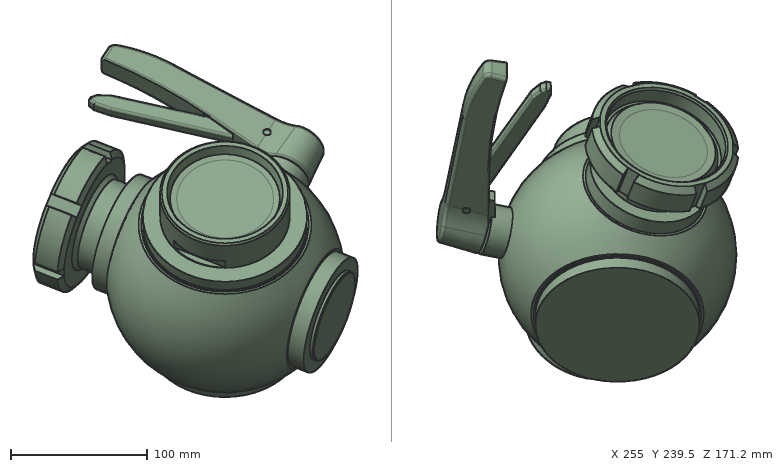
import cadquery as cq
import math

BODY_RADIUS = 87.5
BODY_HALF_LENGTH = 73.6
BODY_HALF_HEIGHT = 60.3

COLLAR_RADIUS = 60.2
COLLAR_HALF_HEIGHT = 71.2
STEP_RADIUS = 61.5
STEP_HEIGHT = 0.9

SPIGOT_RADIUS = 47.7
SPIGOT_TOP = 100.0
SPIGOT_CHAMFER = 1.4
WRENCH_FLAT_DISTANCE = 42.8
WRENCH_FLAT_BOTTOM = COLLAR_HALF_HEIGHT + 0.8
WRENCH_FLAT_HEIGHT = 7.8

RECESS_RIM_RADIUS = 42.5
RECESS_FLOOR_RADIUS = 40.2
RECESS_DEPTH = 7.3
DISH_RADIUS = 35.6
DISH_DEPTH = 0.5

PORT_FLANGE_RADIUS = 45.3
PORT_FLANGE_END = 86.4
NECK_RADIUS = 35.1
RIGHT_END = 89.7
RIGHT_CHAMFER = 0.8

NUT_FRONT = -131.8
NUT_BACK = -106.5
NUT_RADIUS = 56.0
NUT_FRONT_CHAMFER = 4.0
NUT_BACK_CHAMFER = 3.0
NUT_CHAMFER_HEIGHT = 5.0
NUT_SHOULDER_RADIUS = 37.9
NUT_SHOULDER_LENGTH = 3.4
NUT_BORE_RADIUS = 45.4
NUT_BORE_CHAMFER = 1.4
NUT_BORE_DEPTH = 13.3
NUT_SLOTS = 6
NUT_SLOT_WIDTH = 9.4
NUT_SLOT_FLOOR = 50.5
SEAT_BASE_RADIUS = 43.0
SEAT_RIM_RADIUS = 39.8
SEAT_HEIGHT = 4.5
SEAT_DISH_RADIUS = 33.5

STEM_RADIUS = 19.1
STEM_END = 101.0
SPINDLE_RADIUS = 8.0
SPINDLE_ENGAGEMENT = 1.0
HANDLE_BASE = 102.8
HANDLE_DEPTH = 55.0
HANDLE_DRAFT = 5.0
HANDLE_TIP = -165.29
ARM_HALF_WIDTH = 12.2
HEAD_RADIUS = 19.0
FLARE_START = -25.7
HANDLE_ROUNDING = 3.0
UNDERSIDE_ROUNDING = 1.2
TIP_BOTTOM = 131.0
TIP_TOP = 143.0
TIP_CREST = (-161.0, 148.5)
ARM_CREST = (-115.4, 150.8)
HEAD_CORNER = (22.0, 133.0)
UNDERSIDE_START = -16.0
UNDERSIDE_BEND = (-70.0, 117.5)

TRIGGER_HALF_WIDTH = 4.7
TRIGGER_ROUNDING = 2.0
TRIGGER_OUTLINE = [
    (-158.3, 99.3),
    (-155.0, 103.0),
    (-146.0, 107.3),
    (-44.0, 126.5),
    (-44.0, 112.3),
    (-139.6, 94.8),
    (-153.0, 94.0),
    (-158.3, 96.0),
]
POCKET_START = -76.0
POCKET_END = -48.0
POCKET_TOP = 133.0
POCKET_HALF_WIDTH = 8.2
STOP_OUTLINE = [(-35.0, 112.0), (-35.0, 103.5), (-17.6, 98.4), (-12.0, 98.4), (-12.0, 112.0)]
STOP_HALF_WIDTH = 4.8
PIN_CENTRE = (-25.4, 122.4)
PIN_RADIUS = 2.8
PIN_HALF_LENGTH = 11.0


def revolve_about_x(points):
    """Solid of revolution about X from (x, radius) points."""
    return cq.Workplane("XY").polyline(points).close().revolve(360, (0, 0, 0), (1, 0, 0))


def revolve_about_z(points):
    """Solid of revolution about Z from (radius, z) points."""
    return cq.Workplane("XZ").polyline(points).close().revolve(360, (0, 0, 0), (0, 1, 0))


def make_body():
    """Ball trimmed flat at the sides, with a collar above and below."""
    ball = cq.Workplane("XY").sphere(BODY_RADIUS)
    limits = cq.Workplane("XY").box(2 * BODY_HALF_LENGTH, 2 * BODY_RADIUS, 2 * BODY_HALF_HEIGHT)
    step_half_height = BODY_HALF_HEIGHT + STEP_HEIGHT
    steps = cq.Workplane("XY").circle(STEP_RADIUS).extrude(step_half_height, both=True)
    collars = cq.Workplane("XY").circle(COLLAR_RADIUS).extrude(COLLAR_HALF_HEIGHT, both=True)
    return ball.intersect(limits).union(steps).union(collars)


def make_spigot():
    """Top spigot with two wrench flats and a shallow tapered recess."""
    spigot = (
        cq.Workplane("XY").circle(SPIGOT_RADIUS).extrude(SPIGOT_TOP)
        .faces(">Z").edges().chamfer(SPIGOT_CHAMFER)
    )
    for side in (1, -1):
        cut_centre = side * (WRENCH_FLAT_DISTANCE + SPIGOT_RADIUS / 2)
        flat_cut = (
            cq.Workplane("XY", origin=(0, cut_centre, WRENCH_FLAT_BOTTOM))
            .box(2 * SPIGOT_RADIUS, SPIGOT_RADIUS, WRENCH_FLAT_HEIGHT, centered=(True, True, False))
        )
        spigot = spigot.cut(flat_cut)
    floor = SPIGOT_TOP - RECESS_DEPTH
    recess = revolve_about_z([
        (0, SPIGOT_TOP),
        (RECESS_RIM_RADIUS, SPIGOT_TOP),
        (RECESS_FLOOR_RADIUS, floor),
        (DISH_RADIUS, floor - DISH_DEPTH),
        (0, floor - DISH_DEPTH),
    ])
    return spigot.cut(recess)


def make_side_ports():
    """Stepped ports along X, from the back of the nut to the plain right end."""
    return revolve_about_x([
        (NUT_BACK, 0),
        (NUT_BACK, NECK_RADIUS),
        (-PORT_FLANGE_END, NECK_RADIUS),
        (-PORT_FLANGE_END, PORT_FLANGE_RADIUS),
        (PORT_FLANGE_END, PORT_FLANGE_RADIUS),
        (PORT_FLANGE_END, NECK_RADIUS),
        (RIGHT_END - RIGHT_CHAMFER, NECK_RADIUS),
        (RIGHT_END, NECK_RADIUS - RIGHT_CHAMFER),
        (RIGHT_END, 0),
    ])


def make_nut():
    """Slotted union nut, bored out around the seat that closes the left port."""
    edge_radius = NUT_RADIUS - NUT_CHAMFER_HEIGHT
    floor = NUT_FRONT + NUT_BORE_DEPTH
    seat_face = floor - SEAT_HEIGHT
    nut = revolve_about_x([
        (NUT_FRONT, NUT_BORE_RADIUS + NUT_BORE_CHAMFER),
        (NUT_FRONT, edge_radius),
        (NUT_FRONT + NUT_FRONT_CHAMFER, NUT_RADIUS),
        (NUT_BACK - NUT_BACK_CHAMFER, NUT_RADIUS),
        (NUT_BACK, edge_radius),
        (NUT_BACK, NUT_SHOULDER_RADIUS),
        (NUT_BACK + NUT_SHOULDER_LENGTH, NECK_RADIUS),
        (NUT_BACK + NUT_SHOULDER_LENGTH, 0),
        (seat_face + DISH_DEPTH, 0),
        (seat_face + DISH_DEPTH, SEAT_DISH_RADIUS),
        (seat_face, SEAT_RIM_RADIUS),
        (floor, SEAT_BASE_RADIUS),
        (floor, NUT_BORE_RADIUS),
        (NUT_FRONT + NUT_BORE_CHAMFER, NUT_BORE_RADIUS),
    ])
    slot = (
        cq.Workplane("XY", origin=(NUT_FRONT, NUT_SLOT_FLOOR, 0))
        .box(NUT_BACK - NUT_FRONT, NUT_RADIUS, NUT_SLOT_WIDTH, centered=(False, False, True))
    )
    for index in range(NUT_SLOTS):
        nut = nut.cut(slot.rotate((0, 0, 0), (1, 0, 0), index * 360 / NUT_SLOTS))
    return nut


def make_stem():
    """Stem from the ball toward +Y, with a thinner spindle reaching into the handle."""
    stem = cq.Workplane("XZ").circle(STEM_RADIUS).extrude(-STEM_END)
    spindle = cq.Workplane("XZ").circle(SPINDLE_RADIUS).extrude(-(HANDLE_BASE + SPINDLE_ENGAGEMENT))
    return stem.union(spindle)


def handle_side_profile():
    """Side outline of the handle, as a block wide enough to trim the whole handle."""
    block_half_width = 2 * HEAD_RADIUS
    return (
        cq.Workplane("XY", origin=(0, 0, -block_half_width))
        .moveTo(*HEAD_CORNER)
        .lineTo(HEAD_CORNER[0], HANDLE_BASE)
        .lineTo(UNDERSIDE_START, HANDLE_BASE)
        .lineTo(*UNDERSIDE_BEND)
        .tangentArcPoint((HANDLE_TIP, TIP_BOTTOM), relative=False)
        .lineTo(HANDLE_TIP, TIP_TOP)
        .tangentArcPoint(TIP_CREST, relative=False)
        .tangentArcPoint(ARM_CREST, relative=False)
        .tangentArcPoint(HEAD_CORNER, relative=False)
        .close()
        .extrude(2 * block_half_width)
    )


def handle_plan_block():
    """Drafted block: a straight arm flaring smoothly into a round head."""
    block_start = HANDLE_TIP - HANDLE_DEPTH
    flare_radius = (
        (FLARE_START ** 2 + ARM_HALF_WIDTH ** 2 - HEAD_RADIUS ** 2) / (2 * (HEAD_RADIUS - ARM_HALF_WIDTH))
    )
    scale = HEAD_RADIUS / (HEAD_RADIUS + flare_radius)
    flare_x = FLARE_START * scale
    flare_z = (ARM_HALF_WIDTH + flare_radius) * scale
    return (
        cq.Workplane("XZ", origin=(0, HANDLE_BASE, 0))
        .moveTo(block_start, -ARM_HALF_WIDTH)
        .lineTo(block_start, ARM_HALF_WIDTH)
        .lineTo(FLARE_START, ARM_HALF_WIDTH)
        .tangentArcPoint((flare_x, flare_z), relative=False)
        .threePointArc((HEAD_RADIUS, 0), (flare_x, -flare_z))
        .tangentArcPoint((FLARE_START, -ARM_HALF_WIDTH), relative=False)
        .close()
        .extrude(-HANDLE_DEPTH, taper=HANDLE_DRAFT)
    )


def is_outer_edge(edge):
    """False for the seams that cross the handle between its two sides."""
    centre = edge.Center()
    return abs(centre.z) > 1 or centre.x > 0 or centre.x < TIP_CREST[0]


def is_upper_rim(edge):
    """Rim of the crest and the two side edges of the tip."""
    centre = edge.Center()
    crosses_tip = centre.x < TIP_CREST[0] and abs(centre.z) < 1
    return is_outer_edge(edge) and not crosses_tip and centre.y > TIP_BOTTOM + 1


def is_lower_rim(edge):
    """Rim of the underside."""
    return is_outer_edge(edge) and edge.BoundingBox().ymax < TIP_BOTTOM + 1


def make_handle():
    handle = handle_plan_block().intersect(handle_side_profile())
    handle = handle.edges().filter(is_upper_rim).fillet(HANDLE_ROUNDING)
    handle = handle.edges().filter(is_lower_rim).fillet(UNDERSIDE_ROUNDING)
    pin = cq.Workplane("XY").center(*PIN_CENTRE).circle(PIN_RADIUS).extrude(PIN_HALF_LENGTH, both=True)
    return handle.cut(make_trigger_pocket()).union(pin)


def make_trigger_pocket():
    """Pocket in the underside of the arm where the trigger swings."""
    return (
        cq.Workplane("XY")
        .box(
            POCKET_END - POCKET_START,
            POCKET_TOP - HANDLE_BASE,
            2 * POCKET_HALF_WIDTH,
            centered=(False, False, True),
        )
        .translate((POCKET_START, HANDLE_BASE, 0))
    )


def make_trigger():
    """Lever below the arm, rooted in the end wall of the pocket."""
    trigger = (
        cq.Workplane("XY", origin=(0, 0, -TRIGGER_HALF_WIDTH))
        .polyline(TRIGGER_OUTLINE)
        .close()
        .extrude(2 * TRIGGER_HALF_WIDTH)
    )
    return trigger.faces("<Z or >Z").edges().fillet(TRIGGER_ROUNDING)


def make_stop_block():
    """Block bridging the handle underside and the stem."""
    return (
        cq.Workplane("XY", origin=(0, 0, -STOP_HALF_WIDTH))
        .polyline(STOP_OUTLINE)
        .close()
        .extrude(2 * STOP_HALF_WIDTH)
    )


result = (
    make_body()
    .union(make_spigot())
    .union(make_side_ports())
    .union(make_nut())
    .union(make_stem())
    .union(make_handle())
    .union(make_trigger())
    .union(make_stop_block())
)